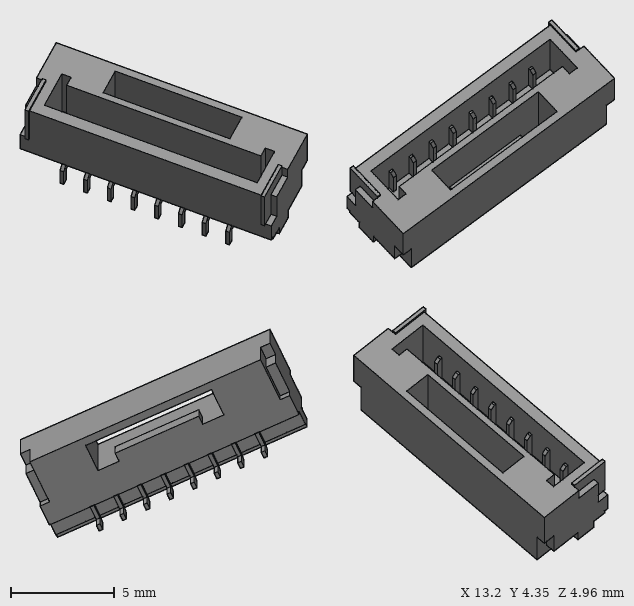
import cadquery as cq


housing_length = 13.25
housing_depth = 4.23
housing_height = 4.03
front_step_depth = 0.2
front_step_height = 0.65
foot_recess_depth = 0.93
foot_recess_height = 0.49

cavity_length = 11.22
cavity_front = 0.6
cavity_back = 2.12
cavity_floor = 1.0
key_slot_width = 0.49
key_slot_back = 2.64

window_length = 6.68
window_front = 2.44
window_back = 3.84
ledge_length = 4.44
ledge_depth = 0.45

pocket_depth = 0.5
upper_pocket_arm = 0.64
upper_pocket_back = 1.92
upper_pocket_bottom = 1.8
lower_pocket_arm_depth = 0.64
lower_pocket_arm_height = 0.6
lower_pocket_reach = 2.24
lower_pocket_top = 1.88
clip_thickness = 0.2
overhang = 0.12

contact_count = 8
contact_pitch = 1.25
contact_width = 0.2
contact_thickness = 0.32
contact_top = 2.65
contact_tip_chamfer = 0.21
foot_thickness = 0.4
leg_bottom = -0.81
bend_chamfer = 0.26


def block(x_range, y_range, z_range):
    """Box spanning the given (low, high) ranges."""
    sizes = [high - low for low, high in (x_range, y_range, z_range)]
    return cq.Workplane("XY").box(*sizes, centered=False).translate((x_range[0], y_range[0], z_range[0]))


def side_profile(points, x_start, width):
    """Outline of (Y, Z) points extruded along +X from x_start."""
    return cq.Workplane("YZ", origin=(x_start, 0, 0)).polyline(points).close().extrude(width)


def centred(length):
    return -length / 2, length / 2


def make_housing():
    outline = [
        (0, front_step_height),
        (front_step_depth, front_step_height),
        (front_step_depth, foot_recess_height),
        (foot_recess_depth, foot_recess_height),
        (foot_recess_depth, 0),
        (housing_depth, 0),
        (housing_depth, housing_height),
        (0, housing_height),
    ]
    return side_profile(outline, -housing_length / 2, housing_length)


def make_cavity():
    heights = (cavity_floor, housing_height)
    left, right = centred(cavity_length)
    cavity = block((left, right), (cavity_front, cavity_back), heights)
    for slot_start in (left, right - key_slot_width):
        slot = block((slot_start, slot_start + key_slot_width), (cavity_front, key_slot_back), heights)
        cavity = cavity.union(slot)
    return cavity


def make_window():
    window = block(centred(window_length), (window_front, window_back), (0, housing_height))
    ledge = block(centred(ledge_length), (window_front, window_front + ledge_depth), (0, cavity_floor))
    return window.cut(ledge)


def upper_l(front, top, x_start, width):
    """L along the top front corner, reaching out to the given front and top."""
    arm_bottom = housing_height - upper_pocket_arm
    outline = [
        (front, top),
        (upper_pocket_back, top),
        (upper_pocket_back, arm_bottom),
        (upper_pocket_arm, arm_bottom),
        (upper_pocket_arm, upper_pocket_bottom),
        (front, upper_pocket_bottom),
    ]
    return side_profile(outline, x_start, width)


def lower_l(x_start, width):
    """L along the bottom back corner."""
    arm_front = housing_depth - lower_pocket_arm_depth
    reach_front = housing_depth - lower_pocket_reach
    outline = [
        (housing_depth, 0),
        (housing_depth, lower_pocket_top),
        (arm_front, lower_pocket_top),
        (arm_front, lower_pocket_arm_height),
        (reach_front, lower_pocket_arm_height),
        (reach_front, 0),
    ]
    return side_profile(outline, x_start, width)


def make_end_pockets():
    """Both pockets of the -X end."""
    start = -housing_length / 2
    return upper_l(0, housing_height, start, pocket_depth).union(lower_l(start, pocket_depth))


def make_clip():
    """Clip lying on the floor of the upper pocket of the -X end."""
    start = -housing_length / 2 + pocket_depth - clip_thickness
    return upper_l(-overhang, housing_height + overhang, start, clip_thickness)


def make_contact(x_centre):
    """Post along the front wall of the cavity, foot to the front and leg bent downwards."""
    post_back = cavity_front + contact_thickness
    leg_back = contact_thickness - overhang
    foot_bottom = foot_recess_height - foot_thickness
    outline = [
        (-overhang, leg_bottom),
        (leg_back, leg_bottom),
        (leg_back, foot_bottom),
        (foot_recess_depth, foot_bottom),
        (foot_recess_depth, foot_recess_height),
        (post_back, foot_recess_height),
        (post_back, contact_top - contact_tip_chamfer),
        (post_back - contact_tip_chamfer, contact_top),
        (cavity_front, contact_top),
        (cavity_front, foot_recess_height),
        (bend_chamfer - overhang, foot_recess_height),
        (-overhang, foot_recess_height - bend_chamfer),
    ]
    return side_profile(outline, x_centre - contact_width / 2, contact_width)


end_pockets = make_end_pockets()
clip = make_clip()

result = make_housing().cut(make_cavity()).cut(make_window())
result = result.cut(end_pockets).cut(end_pockets.mirror("YZ"))
result = result.union(clip).union(clip.mirror("YZ"))
for index in range(contact_count):
    result = result.union(make_contact((index - (contact_count - 1) / 2) * contact_pitch))